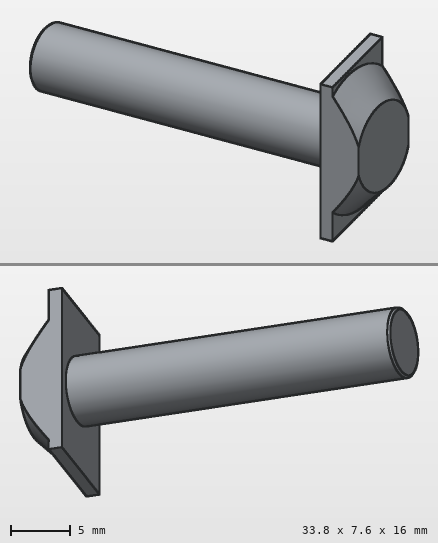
import cadquery as cq

total_length = 33.8
shank_diameter = 6.0
tip_chamfer = 0.2
plate_thickness = 1.2
plate_width = 7.6
plate_height = 16.0
plate_skew = 1.83
crown_height = 2.65
crown_base_radius = 6.55
crown_top_radius = 4.02

plate_end = total_length - crown_height
plate_start = plate_end - plate_thickness


def make_shank():
    """Round shank along X with a chamfered tip."""
    shank = cq.Workplane("YZ").circle(shank_diameter / 2).extrude(plate_start)
    return shank.faces("<X").chamfer(tip_chamfer)


def make_plate():
    """Parallelogram plate with upright sides and slanted ends."""
    half_width = plate_width / 2
    long_reach = plate_height / 2
    short_reach = long_reach - plate_skew
    return (
        cq.Workplane("YZ", origin=(plate_start, 0, 0))
        .moveTo(half_width, long_reach)
        .lineTo(half_width, -short_reach)
        .lineTo(-half_width, -long_reach)
        .lineTo(-half_width, short_reach)
        .close()
        .extrude(plate_thickness)
    )


def make_crown():
    """Truncated cone behind the plate, cut flush with the plate sides."""
    cone = cq.Workplane(
        cq.Solid.makeCone(
            crown_base_radius,
            crown_top_radius,
            crown_height,
            pnt=cq.Vector(plate_end, 0, 0),
            dir=cq.Vector(1, 0, 0),
        )
    )
    side_limits = cq.Workplane("XY").box(2 * total_length, plate_width, plate_height)
    return cone.intersect(side_limits)


result = make_shank().union(make_plate()).union(make_crown())